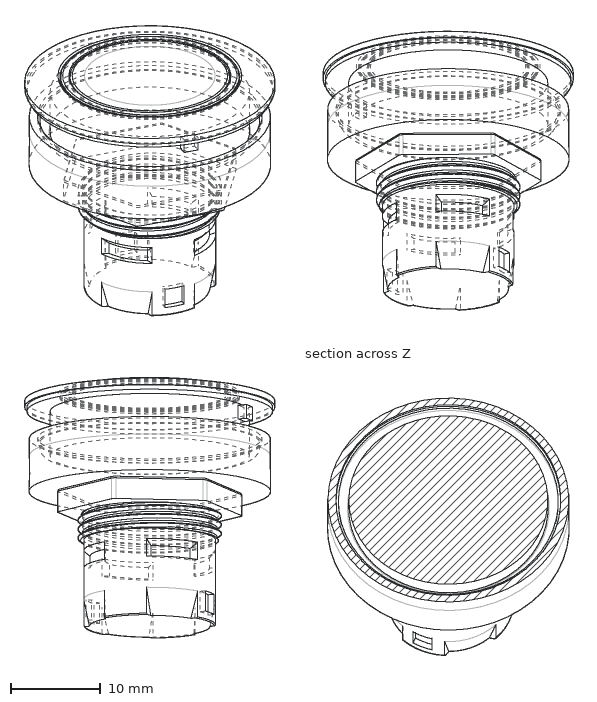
import cadquery as cq
import math

TOTAL_HEIGHT = 26.3
CAP_RIM_TOP = 25.53
CAP_RIM_BOTTOM = 24.83
CAP_BOTTOM = 24.33
RING_TOP = 21.3
RING_LEDGE = 20.79
RING_JOINT = 19.3
RING_BOTTOM = 15.25
NUT_BOTTOM = 12.72
THREAD_BOTTOM = 9.76

CAP_RADIUS = 27.9 / 2
CAP_STEP_RADIUS = 27.4 / 2
NECK_RADIUS = 22.2 / 2
RING_RADIUS = 26.87 / 2
RING_BASE_RADIUS = 13.48
RING_BORE_RADIUS = 25.0 / 2
SEAT_RADIUS = 12.25
SEAT_FILLET = 1.0
BARREL_RADIUS = 14.7 / 2
BARREL_EDGE_CHAMFER = 0.15

CAP_MOUTH_RADIUS = 10.25
GROOVE_OUTER_RADIUS = 20.05 / 2
GROOVE_INNER_RADIUS = 19.9 / 2
LIGHT_RING_FLAT_RADIUS = 9.7
BUTTON_GAP_OUTER_RADIUS = 18.05 / 2
BUTTON_RADIUS = 17.8 / 2
BUTTON_FLAT_RADIUS = 8.65
DISH_RADIUS = 7.28
DISH_DEPTH = 0.17
GROOVE_DEPTH = 0.4
MOUTH_DROP = 0.2
EDGE_DROP = 0.08

TAB_ROOT_RADIUS = 9.95
TAB_REACH = 12.08
TAB_WIDTH = 1.67
TAB_BOTTOM = 22.55
TAB_TOP = 24.1

NUT_ACROSS_FLATS = 18.05
NUT_CORNER_RADIUS = 0.53
NUT_CHAMFER_HEIGHT = 0.2
NUT_CHAMFER_WIDTH = 0.08

THREAD_PITCH = 1.0
THREAD_CREST_RADIUS = 16.0 / 2
THREAD_ROOT_RADIUS = 15.0 / 2
THREAD_CREST_WIDTH = 0.08
THREAD_ROOT_WIDTH = 0.9
THREAD_EMBED = 0.1
THREAD_TURNS = 5
THREAD_START = 8.43

RECESS_FLOOR_RADIUS = 6.67
RECESS_WIDTH = 6.15
RECESS_WALL_SLOPE = 1.64
RECESS_ANGLES = (45, 135, 225, 315)
WINDOW_BOTTOM = 6.6
WINDOW_TOP = 8.6
NOTCH_TOP = 3.07
NOTCH_BOTTOM_RADIUS = 6.72
POCKET_ANGLES = (0, 180)
POCKET_SIZE = 2.3
POCKET_BOTTOM = 1.0

CLEARANCE = 0.55


def revolved(points):
    """Solid of revolution about Z from (radius, height) points."""
    return cq.Workplane("XZ").polyline(points).close().revolve(360, (0, 0), (0, 1))


def cylinder(radius, bottom, top):
    """Cylinder on the Z axis between two heights."""
    return cq.Workplane("XY").workplane(offset=bottom).circle(radius).extrude(top - bottom)


def head():
    """Cap, neck and collar ring, with a grooved, dished top face and a filleted gap around the neck."""
    groove_floor = TOTAL_HEIGHT - GROOVE_DEPTH
    eased = TOTAL_HEIGHT - EDGE_DROP
    profile = (
        cq.Workplane("XZ")
        .moveTo(0, RING_BOTTOM)
        .lineTo(RING_BASE_RADIUS, RING_BOTTOM)
        .lineTo(RING_RADIUS, RING_JOINT)
        .lineTo(RING_RADIUS, RING_TOP)
        .lineTo(RING_BORE_RADIUS, RING_TOP)
        .lineTo(RING_BORE_RADIUS, RING_LEDGE)
        .lineTo(SEAT_RADIUS, RING_LEDGE)
        .lineTo(SEAT_RADIUS, RING_JOINT + SEAT_FILLET)
        .radiusArc((SEAT_RADIUS - SEAT_FILLET, RING_JOINT), SEAT_FILLET)
        .lineTo(NECK_RADIUS, RING_JOINT)
        .lineTo(NECK_RADIUS, CAP_BOTTOM)
        .lineTo(CAP_STEP_RADIUS, CAP_BOTTOM)
        .lineTo(CAP_STEP_RADIUS, CAP_RIM_BOTTOM)
        .lineTo(CAP_RADIUS, CAP_RIM_BOTTOM)
        .lineTo(CAP_RADIUS, CAP_RIM_TOP)
        .lineTo(CAP_MOUTH_RADIUS, TOTAL_HEIGHT)
        .lineTo(GROOVE_OUTER_RADIUS, TOTAL_HEIGHT - MOUTH_DROP)
        .lineTo(GROOVE_OUTER_RADIUS, groove_floor)
        .lineTo(GROOVE_INNER_RADIUS, groove_floor)
        .lineTo(GROOVE_INNER_RADIUS, eased)
        .lineTo(LIGHT_RING_FLAT_RADIUS, TOTAL_HEIGHT)
        .lineTo(BUTTON_GAP_OUTER_RADIUS, TOTAL_HEIGHT)
        .lineTo(BUTTON_GAP_OUTER_RADIUS, groove_floor)
        .lineTo(BUTTON_RADIUS, groove_floor)
        .lineTo(BUTTON_RADIUS, eased)
        .lineTo(BUTTON_FLAT_RADIUS, TOTAL_HEIGHT)
        .lineTo(DISH_RADIUS, TOTAL_HEIGHT)
    )
    sphere_radius = (DISH_RADIUS**2 + DISH_DEPTH**2) / (2 * DISH_DEPTH)
    dish_bottom = TOTAL_HEIGHT - DISH_DEPTH
    mid_radius = DISH_RADIUS / 2
    mid_height = dish_bottom + sphere_radius - math.sqrt(sphere_radius**2 - mid_radius**2)
    profile = profile.threePointArc((mid_radius, mid_height), (0, dish_bottom)).close()
    return profile.revolve(360, (0, 0), (0, 1))


def tab():
    """Rectangular block rooted inside the neck wall."""
    block = cq.Workplane("XY").box(
        TAB_REACH - TAB_ROOT_RADIUS, TAB_WIDTH, TAB_TOP - TAB_BOTTOM, centered=(False, True, False)
    )
    return block.translate((TAB_ROOT_RADIUS, 0, TAB_BOTTOM))


def nut():
    """Hexagon with rounded corners and a chamfered upper edge."""
    across_corners = NUT_ACROSS_FLATS / math.cos(math.radians(30))
    return (
        cq.Workplane("XY")
        .workplane(offset=NUT_BOTTOM)
        .polygon(6, across_corners)
        .extrude(RING_BOTTOM - NUT_BOTTOM)
        .rotate((0, 0, 0), (0, 0, 1), 30)
        .edges("|Z")
        .fillet(NUT_CORNER_RADIUS)
        .faces(">Z")
        .chamfer(NUT_CHAMFER_HEIGHT, NUT_CHAMFER_WIDTH)
    )


def thread():
    """Helical ridge, cut square at its lower end; its upper end is inside the nut."""
    base = THREAD_ROOT_RADIUS - THREAD_EMBED
    helix = cq.Wire.makeHelix(THREAD_PITCH, THREAD_PITCH * THREAD_TURNS, base)
    ridge = (
        cq.Workplane("XZ")
        .moveTo(base, -THREAD_ROOT_WIDTH / 2)
        .lineTo(THREAD_CREST_RADIUS, -THREAD_CREST_WIDTH / 2)
        .lineTo(THREAD_CREST_RADIUS, THREAD_CREST_WIDTH / 2)
        .lineTo(base, THREAD_ROOT_WIDTH / 2)
        .close()
        .sweep(cq.Workplane(helix), isFrenet=True)
        .translate((0, 0, THREAD_START))
    )
    below = cylinder(THREAD_CREST_RADIUS + CLEARANCE, THREAD_START - THREAD_PITCH, THREAD_BOTTOM)
    return ridge.cut(below)


def recess_plan(bottom, top):
    """Prism on the +X side whose side walls close in towards the axis."""
    half_width = RECESS_WIDTH / 2
    edge_x = math.sqrt(BARREL_RADIUS**2 - half_width**2)
    inner_x = edge_x - half_width / RECESS_WALL_SLOPE
    outer_x = BARREL_RADIUS + CLEARANCE
    return (
        cq.Workplane("XY")
        .workplane(offset=bottom)
        .polyline([(inner_x, 0), (edge_x, -half_width), (outer_x, -half_width),
                   (outer_x, half_width), (edge_x, half_width)])
        .close()
        .extrude(top - bottom)
    )


def window():
    """Recess with a flat sill, a cylindrical floor and a 45 degree lintel."""
    depth = BARREL_RADIUS - RECESS_FLOOR_RADIUS
    outer = BARREL_RADIUS + CLEARANCE
    envelope = revolved([
        (RECESS_FLOOR_RADIUS, WINDOW_BOTTOM),
        (outer, WINDOW_BOTTOM),
        (outer, WINDOW_TOP),
        (BARREL_RADIUS, WINDOW_TOP),
        (RECESS_FLOOR_RADIUS, WINDOW_TOP - depth),
    ])
    return recess_plan(WINDOW_BOTTOM, WINDOW_TOP).intersect(envelope)


def notch():
    """Conical relief running out through the bottom edge."""
    outer = BARREL_RADIUS + CLEARANCE
    envelope = revolved([
        (NOTCH_BOTTOM_RADIUS, 0),
        (outer, 0),
        (outer, NOTCH_TOP),
        (BARREL_RADIUS, NOTCH_TOP),
    ])
    return recess_plan(0, NOTCH_TOP).intersect(envelope)


def side_pocket():
    """Square pocket on the +X side with a cylindrical floor."""
    block = cq.Workplane("XY").box(
        BARREL_RADIUS + CLEARANCE, POCKET_SIZE, POCKET_SIZE, centered=(False, True, False)
    ).translate((0, 0, POCKET_BOTTOM))
    return block.cut(cylinder(RECESS_FLOOR_RADIUS, 0, POCKET_BOTTOM + POCKET_SIZE + CLEARANCE))


def turned(shape, angle):
    """Copy of a shape turned about the Z axis."""
    return shape.rotate((0, 0, 0), (0, 0, 1), angle)


def barrel():
    """Lower cylinder with a window and a notch on each diagonal and two side pockets."""
    body = cylinder(BARREL_RADIUS, 0, RING_BOTTOM).faces("<Z").chamfer(BARREL_EDGE_CHAMFER)
    for angle in RECESS_ANGLES:
        body = body.cut(turned(window(), angle))
        body = body.cut(turned(notch(), angle))
    for angle in POCKET_ANGLES:
        body = body.cut(turned(side_pocket(), angle))
    return body


thread_core = cylinder(THREAD_ROOT_RADIUS, THREAD_BOTTOM, RING_BOTTOM)
lower = barrel().union(thread_core).union(thread()).union(nut())
result = head().union(tab()).union(lower)